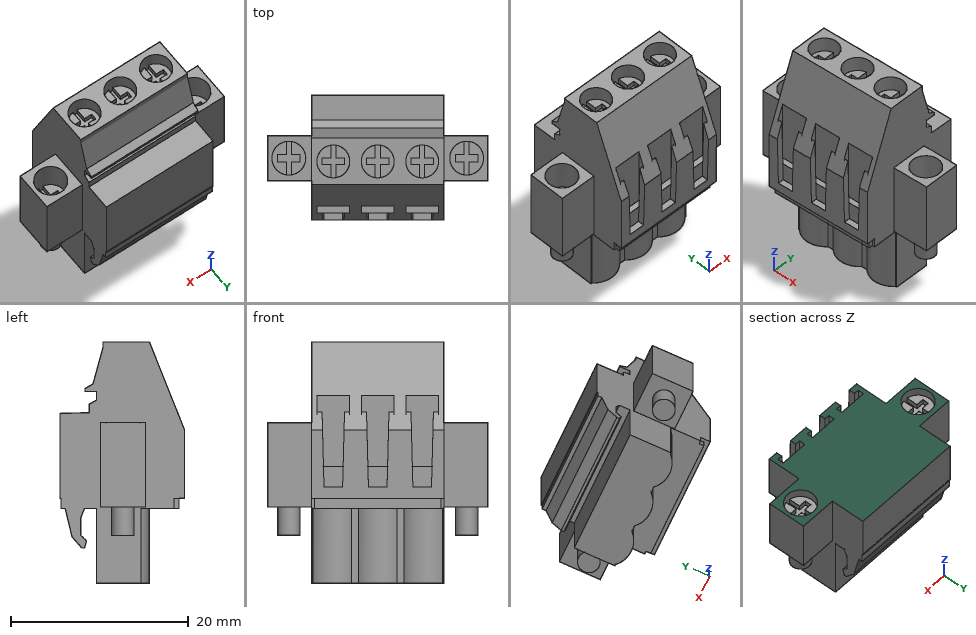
import cadquery as cq


overall_width = 24.8
overall_depth = 14.05
overall_height = 27.2
pole_pitch = 5.0
pole_positions = [-pole_pitch, 0.0, pole_pitch]
flange_positions = [-2 * pole_pitch, 2 * pole_pitch]

body_width = 14.9
body_bottom = 9.57
slope_bottom = 17.27
top_front = 3.97
top_back = 9.22
body_profile = [
    (0.0, body_bottom),
    (0.0, slope_bottom),
    (top_front, overall_height),
    (top_back, overall_height),
    (top_back, 26.52),
    (10.34, 22.47),
    (11.23, 21.92),
    (11.23, 21.6),
    (9.95, 21.6),
    (9.95, 20.62),
    (10.77, 20.18),
    (10.77, 19.23),
    (overall_depth, 19.15),
    (overall_depth, body_bottom),
]

base_bottom = 8.4
base_front = 0.63
base_back = 13.95
base_notch_width = 0.35
base_notch_depth = 0.57

plug_back = 9.95
plug_front = 4.9
lobe_pitch = 5.1
lobe_width = 4.35
lobe_tip = 3.97

latch_profile = [
    (13.46, base_bottom),
    (11.3, base_bottom),
    (11.7, 7.35),
    (11.7, 5.45),
    (11.05, 4.8),
    (11.25, 3.97),
    (11.6, 3.97),
    (12.7, 5.25),
]

slot_front_depth = 0.82
slot_floor = 1.55
slot_bottom = 10.83
slot_bottom_width = 2.1
slot_top_width = 2.53
cavity_bottom = 13.16
cavity_width = 3.62

flange_bottom = 8.6
flange_height = 9.5
flange_depth = 5.1
flange_center_y = 6.95

terminal_diameter = 3.7
terminal_center_y = (top_front + top_back) / 2
terminal_recess = 1.93
terminal_length = 2.72
terminal_top = overall_height - terminal_recess

flange_head_diameter = 3.8
flange_head_height = 1.63
flange_recess = 3.8
flange_shank_diameter = 2.55
flange_shank_bottom = 5.4
flange_head_top = flange_bottom + flange_height - flange_recess
flange_head_bottom = flange_head_top - flange_head_height

drive_arm_length = 2.55
drive_slot_width = 0.57
drive_depth = 0.68
terminal_arm_width = 0.73
flange_arm_width = 0.82


def block(x_range, y_range, z_range):
    """Box between the given limits."""
    size = [high - low for low, high in (x_range, y_range, z_range)]
    corner = (x_range[0], y_range[0], z_range[0])
    return cq.Workplane("XY").box(*size, centered=False).translate(corner)


def centered_range(center, length):
    return center - length / 2, center + length / 2


def side_extrusion(profile):
    """Extrude a (Y, Z) profile over the full width of the housing body."""
    return cq.Workplane("YZ").polyline(profile).close().extrude(body_width / 2, both=True)


def cylinder(x, y, bottom, top, diameter):
    return cq.Workplane("XY", origin=(x, y, bottom)).circle(diameter / 2).extrude(top - bottom)


def make_base():
    """Thin plate with its two front corners notched."""
    main_width = centered_range(0.0, body_width)
    nose_width = centered_range(0.0, body_width - 2 * base_notch_width)
    z_range = (base_bottom, body_bottom)
    notch_back = base_front + base_notch_depth
    main = block(main_width, (notch_back, base_back), z_range)
    nose = block(nose_width, (base_front, notch_back), z_range)
    return main.union(nose)


def make_plug():
    """Straight-backed plug whose front bulges in one arc per pole."""
    outline = cq.Workplane("XY").moveTo(-body_width / 2, plug_back)
    outline = outline.lineTo(-body_width / 2, plug_front)
    for center in (-lobe_pitch, 0.0, lobe_pitch):
        left, right = centered_range(center, lobe_width)
        outline = outline.lineTo(left, plug_front)
        outline = outline.threePointArc((center, lobe_tip), (right, plug_front))
    outline = outline.lineTo(body_width / 2, plug_front)
    outline = outline.lineTo(body_width / 2, plug_back).close()
    return outline.extrude(base_bottom)


def make_flange(x):
    """Square ear that runs from the housing side to the outer width."""
    inner, outer = body_width / 2, overall_width / 2
    x_range = (inner, outer) if x > 0 else (-outer, -inner)
    y_range = centered_range(flange_center_y, flange_depth)
    return block(x_range, y_range, (flange_bottom, flange_bottom + flange_height))


def make_test_slot(x):
    """Tapered front opening with a wider cavity behind it, open at the slope."""
    slope = (overall_height - slope_bottom) / top_front
    opening_top = slope_bottom + slope * slot_front_depth
    opening = (
        cq.Workplane("XZ")
        .polyline([
            (x - slot_bottom_width / 2, slot_bottom),
            (x + slot_bottom_width / 2, slot_bottom),
            (x + slot_top_width / 2, opening_top),
            (x - slot_top_width / 2, opening_top),
        ])
        .close()
        .extrude(-slot_front_depth)
    )
    cavity = block(
        centered_range(x, cavity_width),
        (slot_front_depth, slot_floor),
        (cavity_bottom, overall_height),
    )
    return opening.union(cavity)


def make_housing():
    housing = side_extrusion(body_profile)
    housing = housing.union(make_base()).union(make_plug()).union(side_extrusion(latch_profile))
    for x in flange_positions:
        housing = housing.union(make_flange(x))
    for x in pole_positions:
        housing = housing.cut(make_test_slot(x))
        screw_bottom = terminal_top - terminal_length
        screw_hole = cylinder(x, terminal_center_y, screw_bottom, overall_height, terminal_diameter)
        housing = housing.cut(screw_hole)
    for x in flange_positions:
        flange_top = flange_bottom + flange_height
        head_hole = cylinder(x, flange_center_y, flange_head_bottom, flange_top, flange_head_diameter)
        shank_hole = cylinder(x, flange_center_y, flange_bottom, flange_head_bottom, flange_shank_diameter)
        housing = housing.cut(head_hole).cut(shank_hole)
    return housing


def make_cross_drive(x, y, top, slot_length, arm_width):
    """Slot across the whole head in Y, crossed by a shorter arm in X."""
    z_range = (top - drive_depth, top)
    slot = block(centered_range(x, drive_slot_width), centered_range(y, slot_length), z_range)
    arm = block(centered_range(x, drive_arm_length), centered_range(y, arm_width), z_range)
    return slot.union(arm)


def make_terminal_screw(x):
    y = terminal_center_y
    screw = cylinder(x, y, terminal_top - terminal_length, terminal_top, terminal_diameter)
    return screw.cut(make_cross_drive(x, y, terminal_top, terminal_diameter, terminal_arm_width))


def make_flange_screw(x):
    y = flange_center_y
    head = cylinder(x, y, flange_head_bottom, flange_head_top, flange_head_diameter)
    shank = cylinder(x, y, flange_shank_bottom, flange_head_bottom, flange_shank_diameter)
    drive = make_cross_drive(x, y, flange_head_top, flange_head_diameter, flange_arm_width)
    return head.union(shank).cut(drive)


housing = make_housing()
terminal_screws = [make_terminal_screw(x) for x in pole_positions]
flange_screws = [make_flange_screw(x) for x in flange_positions]

result = cq.Compound.makeCompound([
    housing.solids().val(),
    *[screw.solids().val() for screw in terminal_screws],
    *[screw.solids().val() for screw in flange_screws],
])